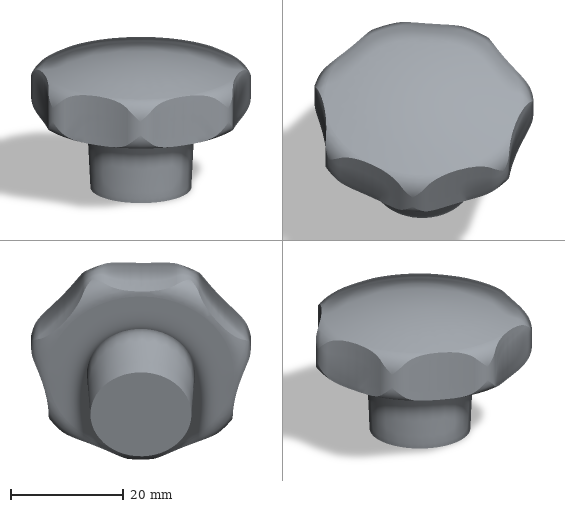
import cadquery as cq
import math

total_height = 25.0
stem_height = 13.0
dome_height = 2.62

stem_foot_radius = 9.0
stem_top_radius = 9.65

lobe_count = 7
lobe_tip_radius = 3.53
head_width = 39.17
lobe_pitch = 360 / lobe_count
widest_lobe_tilt = math.radians(lobe_pitch / 4)
tip_center_radius = (head_width / 2 - lobe_tip_radius) / math.cos(widest_lobe_tilt)
head_radius = tip_center_radius + lobe_tip_radius
waist_radius = 17.55
first_lobe_angle = 90.0
dome_radius = 17.5
bottom_edge_radius = 3.4


def polar(radius, degrees):
    angle = math.radians(degrees)
    return (radius * math.cos(angle), radius * math.sin(angle))


def make_head_body():
    """Round head: flat underside, rounded rim and a dome tangent to the rim."""
    dome_edge_z = total_height - dome_height
    sphere_radius = (dome_radius**2 + dome_height**2) / (2 * dome_height)
    edge_slope = math.asin(dome_radius / sphere_radius)
    rim_radius = (head_radius - dome_radius) / (1 - math.sin(edge_slope))
    rim_center_r = head_radius - rim_radius
    rim_center_z = dome_edge_z - rim_radius * math.cos(edge_slope)
    rim_mid_angle = (math.pi / 2 - edge_slope) / 2
    rim_mid = (
        rim_center_r + rim_radius * math.cos(rim_mid_angle),
        rim_center_z + rim_radius * math.sin(rim_mid_angle),
    )
    sphere_center_z = total_height - sphere_radius
    dome_mid = (
        sphere_radius * math.sin(edge_slope / 2),
        sphere_center_z + sphere_radius * math.cos(edge_slope / 2),
    )
    diagonal = math.sqrt(0.5)
    bottom_center_r = head_radius - bottom_edge_radius
    bottom_center_z = stem_height + bottom_edge_radius
    bottom_mid = (
        bottom_center_r + bottom_edge_radius * diagonal,
        bottom_center_z - bottom_edge_radius * diagonal,
    )
    return (
        cq.Workplane("XZ")
        .moveTo(0, stem_height)
        .lineTo(bottom_center_r, stem_height)
        .threePointArc(bottom_mid, (head_radius, bottom_center_z))
        .lineTo(head_radius, rim_center_z)
        .threePointArc(rim_mid, (dome_radius, dome_edge_z))
        .threePointArc(dome_mid, (0, total_height))
        .close()
        .revolve(360, (0, 0), (0, 1))
    )


def make_lobed_prism():
    """Upright prism with the lobed outline of the head."""
    tip_along = tip_center_radius * math.cos(math.radians(lobe_pitch / 2))
    tip_across = tip_center_radius * math.sin(math.radians(lobe_pitch / 2))
    tip_offset = waist_radius - tip_along
    hollow_radius = (tip_offset**2 + tip_across**2 - lobe_tip_radius**2) / (
        2 * (lobe_tip_radius - tip_offset)
    )
    blend = hollow_radius / (hollow_radius + lobe_tip_radius)
    hollow_center = waist_radius + hollow_radius
    join_along = hollow_center + (tip_along - hollow_center) * blend
    join_across = tip_across * blend
    join_radius = math.hypot(join_along, join_across)
    join_angle = lobe_pitch / 2 - math.degrees(math.atan2(join_across, join_along))

    outline = cq.Workplane("XY")
    outline = outline.moveTo(*polar(join_radius, first_lobe_angle - join_angle))
    for lobe in range(lobe_count):
        angle = first_lobe_angle + lobe * lobe_pitch
        outline = outline.threePointArc(
            polar(head_radius, angle), polar(join_radius, angle + join_angle)
        )
        outline = outline.threePointArc(
            polar(waist_radius, angle + lobe_pitch / 2),
            polar(join_radius, angle + lobe_pitch - join_angle),
        )
    return outline.close().extrude(2 * total_height)


def make_stem():
    """Solid stem widening slightly towards the head."""
    return (
        cq.Workplane("XZ")
        .polyline([
            (0, 0),
            (stem_foot_radius, 0),
            (stem_top_radius, stem_height),
            (0, stem_height),
        ])
        .close()
        .revolve(360, (0, 0), (0, 1))
    )


head = make_head_body().intersect(make_lobed_prism())
result = head.union(make_stem())